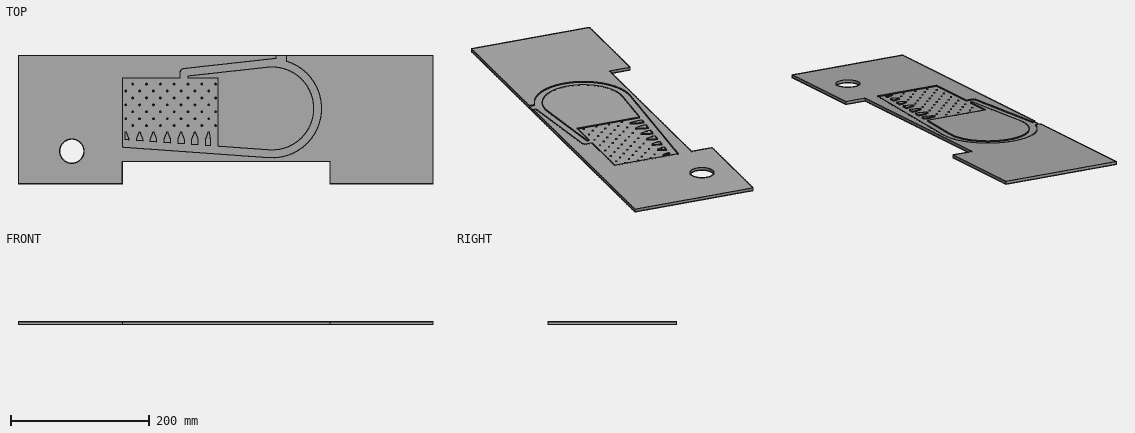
import cadquery as cq
import math

plate_length = 600.0
plate_width = 186.0
plate_thickness = 4.5
notch_length = plate_length / 2
notch_depth = 32.5
notch_x = 0.5
hole_diameter = 35.0
hole_x = -222.5
hole_y = -45.5

recess_depth = 1.5
channel_width = 11.5
loop_outer_radius = 71.5
loop_inner_radius = loop_outer_radius - channel_width
loop_x = 67.0
loop_y = 16.0
roof_angle = math.radians(6.3)
floor_angle = math.radians(4.1)
field_left = notch_x - notch_length / 2
field_right = -11.5
field_top = 60.0
mouth_left = -66.0
mouth_right = mouth_left + channel_width
mouth_corner_radius = 6.0
exit_left = 72.5
exit_right = 87.5

pin_hole_diameter = 2.0
pin_hole_pitch = plate_length / 30
row_pitch = pin_hole_pitch / 2
holes_per_row = 7
row_count = 7
first_hole_x = -144.5
divider_tip_y = -18.5
divider_half_width = 5.0
divider_taper_length = 10.0
divider_left_limit = first_hole_x - pin_hole_diameter / 2
divider_right_limit = -22.0

plate_top = plate_thickness / 2
recess_floor = plate_top - recess_depth


def roof_height(x, radius):
    """Y of the upper straight wall tangent to the loop circle of this radius."""
    return loop_y + radius / math.cos(roof_angle) + (x - loop_x) * math.tan(roof_angle)


def floor_height(x, radius):
    """Y of the lower straight wall tangent to the loop circle of this radius."""
    return loop_y - radius / math.cos(floor_angle) - (x - loop_x) * math.tan(floor_angle)


def roof_tangent(radius):
    return (loop_x - radius * math.sin(roof_angle), loop_y + radius * math.cos(roof_angle))


def floor_tangent(radius):
    return (loop_x - radius * math.sin(floor_angle), loop_y - radius * math.cos(floor_angle))


def make_plate():
    plate = cq.Workplane("XY").box(plate_length, plate_width, plate_thickness)
    notch = (
        cq.Workplane("XY")
        .center(notch_x, -plate_width / 2 + notch_depth / 2)
        .box(notch_length, notch_depth, plate_thickness)
    )
    hole = (
        cq.Workplane("XY", origin=(hole_x, hole_y, -plate_top))
        .circle(hole_diameter / 2)
        .extrude(plate_thickness)
    )
    return plate.cut(notch).cut(hole)


def make_track():
    """Outer boundary of the recess, with the exit slot open at the +Y edge."""
    exit_bottom = loop_y + math.sqrt(loop_outer_radius**2 - (exit_right - loop_x) ** 2)
    track = (
        cq.Workplane("XY", origin=(0, 0, recess_floor))
        .moveTo(field_left, field_top)
        .lineTo(mouth_left, field_top)
        .lineTo(mouth_left, roof_height(mouth_left, loop_outer_radius))
        .lineTo(exit_left, roof_height(exit_left, loop_outer_radius))
        .lineTo(exit_left, plate_width / 2)
        .lineTo(exit_right, plate_width / 2)
        .lineTo(exit_right, exit_bottom)
        .threePointArc((loop_x + loop_outer_radius, loop_y), floor_tangent(loop_outer_radius))
        .lineTo(field_left, floor_height(field_left, loop_outer_radius))
        .close()
        .extrude(recess_depth)
    )
    mouth_corner = cq.selectors.NearestToPointSelector(
        (mouth_left, roof_height(mouth_left, loop_outer_radius), recess_floor + recess_depth / 2)
    )
    return track.edges(mouth_corner).fillet(mouth_corner_radius)


def make_island():
    """Full-height land inside the loop, with a thin tongue above the pin field."""
    return (
        cq.Workplane("XY", origin=(0, 0, recess_floor))
        .moveTo(field_right, field_top)
        .lineTo(mouth_right, field_top)
        .lineTo(mouth_right, roof_height(mouth_right, loop_inner_radius))
        .lineTo(*roof_tangent(loop_inner_radius))
        .threePointArc((loop_x + loop_inner_radius, loop_y), floor_tangent(loop_inner_radius))
        .lineTo(field_right, floor_height(field_right, loop_inner_radius))
        .close()
        .extrude(recess_depth)
    )


def make_pin_holes():
    """Staggered rows above the divider tips; every other row is shifted by half a pitch."""
    centers = []
    for row in range(1, row_count + 1):
        shift = pin_hole_pitch / 2 * (row % 2)
        for column in range(holes_per_row):
            centers.append((first_hole_x + shift + column * pin_hole_pitch, divider_tip_y + row * row_pitch))
    return (
        cq.Workplane("XY", origin=(0, 0, -plate_top))
        .pushPoints(centers)
        .circle(pin_hole_diameter / 2)
        .extrude(plate_thickness)
    )


def make_divider(x):
    """Blunt-tipped wedge whose lower end runs one channel width above the sloping floor."""
    left = max(x - divider_half_width, divider_left_limit)
    right = min(x + divider_half_width, divider_right_limit)
    tip_half_width = pin_hole_diameter / 2
    shoulder_y = divider_tip_y - divider_taper_length
    outline = [
        (x - tip_half_width, divider_tip_y),
        (x + tip_half_width, divider_tip_y),
        (right, shoulder_y),
        (right, floor_height(right, loop_inner_radius)),
        (left, floor_height(left, loop_inner_radius)),
    ]
    if left < x - tip_half_width:
        outline.append((left, shoulder_y))
    wedge = (
        cq.Workplane("XY", origin=(0, 0, recess_floor))
        .polyline(outline)
        .close()
        .extrude(recess_depth)
    )
    tip = (
        cq.Workplane("XY", origin=(x, divider_tip_y, recess_floor))
        .circle(tip_half_width)
        .extrude(recess_depth)
    )
    return wedge.union(tip)


recess = make_track().cut(make_island())
for column in range(holes_per_row):
    recess = recess.cut(make_divider(first_hole_x + column * pin_hole_pitch))

result = make_plate().cut(recess).cut(make_pin_holes())